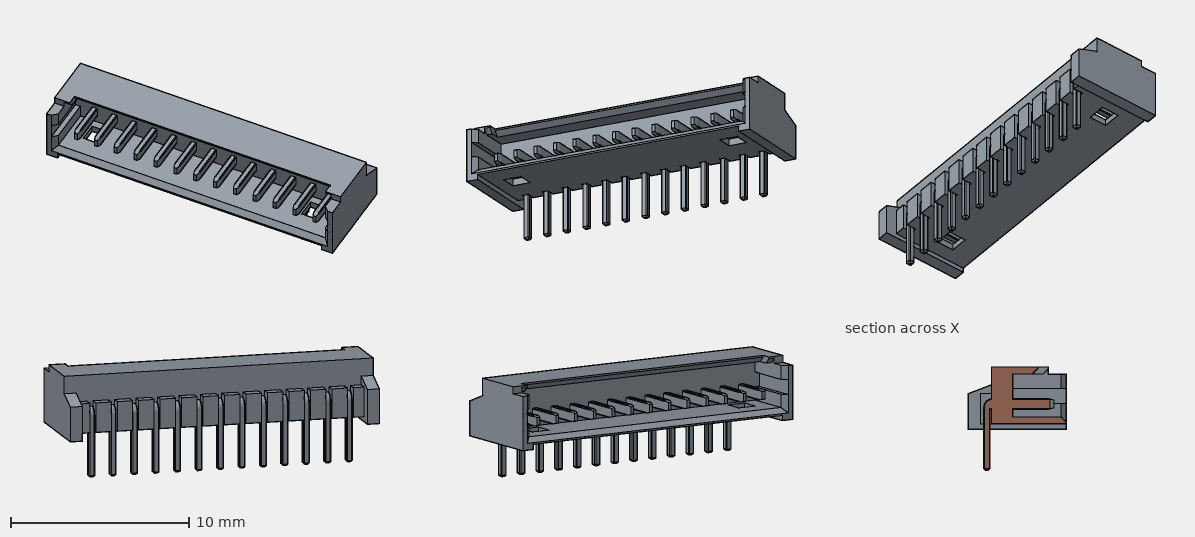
import cadquery as cq


LENGTH = 18.0
DEPTH = 5.5
HEIGHT = 3.5
FOOT_HEIGHT = 0.3
CHEEK_WIDTH = 0.7

WALL = 0.6
FLOOR_TOP = 0.7
CEILING = 3.1
CAVITY_DEPTH = 3.0
LEAD_IN = 0.3
SIDE_STEP_DEPTH = 1.0
WINDOW_DEPTH = 1.6
WINDOW_MARGIN = 0.95

GROOVE_BOTTOM = 1.45
GROOVE_TOP = 2.3
GROOVE_DEPTH = 0.3

ROOF_REAR_SETBACK = 1.3
CHEEK_REAR_HEIGHT = 2.0
CHEEK_INNER_HEIGHT = 2.5
COMB_SETBACK = 0.7
COMB_TOP = CHEEK_REAR_HEIGHT

FLOOR_SLOT_FRONT = 1.45
FLOOR_SLOT_SIZE = 1.1

PIN_COUNT = 13
PITCH = 1.25
PIN_WIDTH = 0.35
PIN_BLADE_HEIGHT = 0.6
PIN_BLADE_BOTTOM = 1.12
PIN_TIP_Y = 0.7
PIN_TIP_TAPER = 0.08
PIN_TIP_LENGTH = 0.3
PIN_EDGE_CHAMFER = 0.05
LEG_REAR_SETBACK = 0.87
LEG_END = -2.3
LEG_END_TAPER = 0.1
BEND_RADIUS = 0.5

PIN_BLADE_TOP = PIN_BLADE_BOTTOM + PIN_BLADE_HEIGHT
LEG_REAR = DEPTH - LEG_REAR_SETBACK
LEG_FRONT = LEG_REAR - PIN_WIDTH
ROOF_REAR = DEPTH - ROOF_REAR_SETBACK
COMB_REAR = DEPTH - COMB_SETBACK
INNER_LENGTH = LENGTH - 2 * WALL
PIN_POSITIONS = [(i - (PIN_COUNT - 1) / 2) * PITCH for i in range(PIN_COUNT)]


def centred_box(width, y_min, y_max, z_min, z_max):
    """Block that is symmetric about the YZ plane."""
    block = cq.Workplane("XY").box(width, y_max - y_min, z_max - z_min)
    return block.translate((0, (y_min + y_max) / 2, (z_min + z_max) / 2))


def frustum(plane, start_size, end_size, offset):
    """Rectangle on the plane through the origin, lofted to another one at an offset along its normal."""
    return cq.Workplane(plane).rect(*start_size).workplane(offset=offset).rect(*end_size).loft()


def yz_prism(points, width):
    """Outline in the YZ plane, extruded symmetrically along X."""
    return cq.Workplane("YZ").polyline(points).close().extrude(width / 2, both=True)


def housing_block():
    """Outer shape: stepped side profile, feet, rear cheeks and the comb body between them."""
    side_profile = [
        (0, 0),
        (DEPTH, 0),
        (DEPTH, CHEEK_REAR_HEIGHT),
        (ROOF_REAR, CHEEK_INNER_HEIGHT),
        (ROOF_REAR, HEIGHT),
        (SIDE_STEP_DEPTH, HEIGHT),
        (SIDE_STEP_DEPTH, CEILING),
        (0, CEILING),
    ]
    between_cheeks = LENGTH - 2 * CHEEK_WIDTH
    block = yz_prism(side_profile, LENGTH)
    block = block.cut(centred_box(between_cheeks, 0, DEPTH, 0, FOOT_HEIGHT))
    block = block.cut(centred_box(between_cheeks, COMB_REAR, DEPTH, 0, HEIGHT))
    return block.cut(centred_box(between_cheeks, ROOF_REAR, DEPTH, COMB_TOP, HEIGHT))


def roof_lead_in(front_edge, width):
    """Wedge that bevels the lower front edge of the roof."""
    points = [
        (front_edge, CEILING),
        (front_edge + LEAD_IN, CEILING),
        (front_edge, CEILING + LEAD_IN),
    ]
    return yz_prism(points, width)


def plug_cavity():
    """Cavity with a flared mouth, an open top at the front and a guide groove at each end."""
    cavity = centred_box(INNER_LENGTH, 0, CAVITY_DEPTH, FLOOR_TOP, CEILING)
    mouth = frustum(
        "XZ",
        (INNER_LENGTH + 2 * LEAD_IN, CEILING - FLOOR_TOP + 2 * LEAD_IN),
        (INNER_LENGTH, CEILING - FLOOR_TOP),
        -LEAD_IN,
    )
    window_width = LENGTH - 2 * WINDOW_MARGIN
    cavity = cavity.union(mouth.translate((0, 0, (CEILING + FLOOR_TOP) / 2)))
    cavity = cavity.union(centred_box(window_width, 0, WINDOW_DEPTH, FLOOR_TOP, HEIGHT))
    cavity = cavity.union(roof_lead_in(SIDE_STEP_DEPTH, INNER_LENGTH))
    cavity = cavity.union(roof_lead_in(WINDOW_DEPTH, window_width))
    groove_width = INNER_LENGTH + 2 * GROOVE_DEPTH
    return cavity.union(centred_box(groove_width, 0, CAVITY_DEPTH, GROOVE_BOTTOM, GROOVE_TOP))


def floor_slot(first_x, second_x):
    """Opening through the floor between two neighbouring pins."""
    slot = centred_box(FLOOR_SLOT_SIZE, FLOOR_SLOT_FRONT, FLOOR_SLOT_FRONT + FLOOR_SLOT_SIZE, 0, FLOOR_TOP)
    return slot.translate(((first_x + second_x) / 2, 0, 0))


def comb_slot(x):
    """Rear slot that the leg of one pin drops through."""
    return centred_box(PIN_WIDTH, ROOF_REAR, DEPTH, 0, COMB_TOP).translate((x, 0, 0))


def pin_bar():
    """Bent bar of one pin on the YZ plane, with its long edges chamfered and both ends cut square."""
    bar = (
        cq.Workplane("YZ")
        .moveTo(PIN_TIP_Y, PIN_BLADE_BOTTOM)
        .lineTo(LEG_FRONT, PIN_BLADE_BOTTOM)
        .lineTo(LEG_FRONT, LEG_END)
        .lineTo(LEG_REAR, LEG_END)
        .lineTo(LEG_REAR, PIN_BLADE_TOP - BEND_RADIUS)
        .radiusArc((LEG_REAR - BEND_RADIUS, PIN_BLADE_TOP), -BEND_RADIUS)
        .lineTo(PIN_TIP_Y, PIN_BLADE_TOP)
        .close()
        .extrude(PIN_WIDTH / 2, both=True)
    )
    return bar.faces("<X or >X").edges("not <Y").edges("not <Z").chamfer(PIN_EDGE_CHAMFER)


def pin():
    """Bent bar trimmed by an envelope that tapers at the blade tip and at the foot of the leg."""
    envelope = centred_box(
        PIN_WIDTH, PIN_TIP_Y + PIN_TIP_LENGTH, LEG_REAR, LEG_END + LEG_END_TAPER, PIN_BLADE_TOP
    )
    blade_tip = frustum(
        "XZ",
        (PIN_WIDTH - 2 * PIN_TIP_TAPER, PIN_BLADE_HEIGHT - 2 * PIN_TIP_TAPER),
        (PIN_WIDTH, PIN_BLADE_HEIGHT),
        -PIN_TIP_LENGTH,
    )
    leg_end_width = PIN_WIDTH - 2 * LEG_END_TAPER
    leg_end = frustum("XY", (leg_end_width, leg_end_width), (PIN_WIDTH, PIN_WIDTH), LEG_END_TAPER)
    envelope = envelope.union(blade_tip.translate((0, PIN_TIP_Y, (PIN_BLADE_BOTTOM + PIN_BLADE_TOP) / 2)))
    envelope = envelope.union(leg_end.translate((0, (LEG_FRONT + LEG_REAR) / 2, LEG_END)))
    return pin_bar().intersect(envelope)


result = housing_block().cut(plug_cavity())
result = result.cut(floor_slot(PIN_POSITIONS[0], PIN_POSITIONS[1]))
result = result.cut(floor_slot(PIN_POSITIONS[-2], PIN_POSITIONS[-1]))
for pin_x in PIN_POSITIONS:
    result = result.cut(comb_slot(pin_x))
for pin_x in PIN_POSITIONS:
    result = result.union(pin().translate((pin_x, 0, 0)))